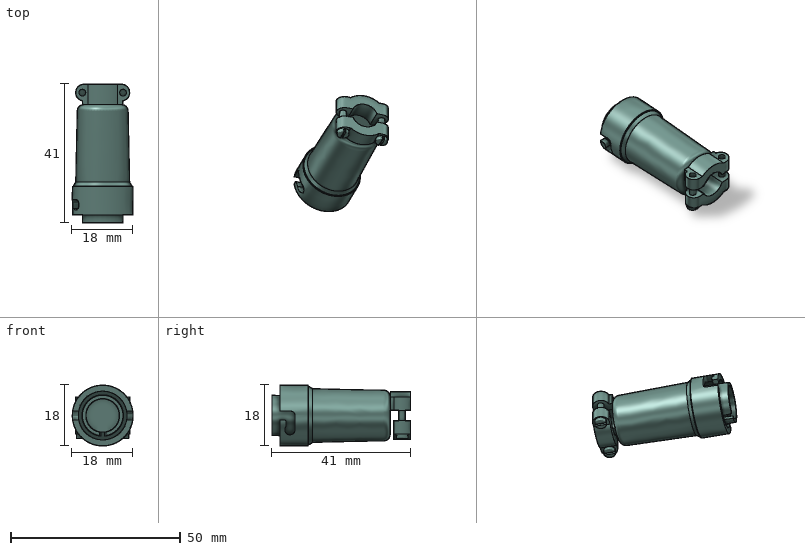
import cadquery as cq
import math


nozzle_radius = 6.0
nozzle_base_radius = 6.13
recess_radius = 5.0
recess_floor_radius = 4.9
recess_depth = 1.6
keyway_mouth_width = 1.9
keyway_base_width = 1.1
keyway_floor = 4.85

collar_radius = 9.0
collar_bore_radius = 7.2
collar_front = 2.4
collar_back = 10.7
collar_bore_end = 9.0
gap_middle_radius = (nozzle_base_radius + collar_bore_radius) / 2

slot_width = 2.6
slot_back = 6.85
slot_outer_corner = 1.3
slot_inner_corner = 0.6
lock_radius = 1.5
lock_height = 4.2

shoulder_radius = 8.7
shoulder_front = 10.9
shoulder_back = 12.05
shell_front_radius = 8.0
shell_back_radius = 7.5
shell_back = 35.0
shell_round = 2.0

clamp_back = 41.0
lug_length = 5.0
lug_half_span = 8.0
lug_inner_height = 1.5
lug_outer_height = 5.5
arch_radius = 7.05
cable_radius = 4.0
neck_width = 12.0
screw_y = clamp_back - lug_length / 2

screw_spacing = 12.0
screw_radius = 1.0
screw_hole_depth = 2.0
head_radius = 1.75
head_height = 1.3
head_round = 0.25
driver_slot_width = 0.6
driver_slot_depth = 0.9


def y_cylinder(radius, start, end):
    """Solid cylinder on the connector axis between two Y positions."""
    return cq.Workplane("XZ", origin=(0, start, 0)).circle(radius).extrude(start - end)


def make_body():
    """Shell, collar blank and nozzle core as one turned solid."""
    profile = (
        cq.Workplane("XY")
        .moveTo(0, 0)
        .lineTo(nozzle_radius, 0)
        .lineTo(nozzle_base_radius, collar_bore_end)
        .lineTo(collar_bore_radius, collar_bore_end)
        .lineTo(collar_bore_radius, collar_front)
        .lineTo(collar_radius, collar_front)
        .lineTo(collar_radius, collar_back)
        .lineTo(shoulder_radius, collar_back)
        .lineTo(shoulder_radius, shoulder_front)
        .lineTo(shell_front_radius, shoulder_back)
        .lineTo(shell_back_radius, shell_back)
        .lineTo(0, shell_back)
        .close()
    )
    body = profile.revolve(360, (0, 0, 0), (0, 1, 0))
    return body.faces(">Y").edges().fillet(shell_round)


def make_recess():
    """Slightly tapered round recess in the mating face."""
    return (
        cq.Workplane("XY")
        .lineTo(recess_radius, 0)
        .lineTo(recess_floor_radius, recess_depth)
        .lineTo(0, recess_depth)
        .close()
        .revolve(360, (0, 0, 0), (0, 1, 0))
    )


def make_keyway():
    """Narrowing slot through the lower nozzle wall, as long as the gap inside the collar."""
    half_mouth = keyway_mouth_width / 2
    half_base = keyway_base_width / 2
    slab = (
        cq.Workplane("XY", origin=(0, 0, -collar_bore_radius))
        .moveTo(-half_mouth, 0)
        .lineTo(half_mouth, 0)
        .lineTo(half_base, collar_bore_end)
        .lineTo(-half_base, collar_bore_end)
        .close()
        .extrude(collar_bore_radius - keyway_floor)
    )
    collar_space = y_cylinder(gap_middle_radius, 0, collar_bore_end)
    return slab.intersect(collar_space)


def make_bayonet_slot():
    """Hooked slot through the -X side of the collar, ending in a round lock pocket."""
    half_width = slot_width / 2
    slot_front = slot_back - slot_width
    lock_y = slot_back - lock_radius
    inner_corner_y = slot_front - slot_inner_corner
    inner_corner_z = half_width + slot_inner_corner
    outline = (
        cq.Workplane("YZ", origin=(-collar_radius, 0, 0))
        .moveTo(collar_front, -half_width)
        .lineTo(slot_back - slot_outer_corner, -half_width)
        .radiusArc((slot_back, slot_outer_corner - half_width), -slot_outer_corner)
        .lineTo(slot_back, lock_height)
        .lineTo(slot_front, lock_height)
        .lineTo(slot_front, inner_corner_z)
        .radiusArc((inner_corner_y, half_width), slot_inner_corner)
        .lineTo(collar_front, half_width)
        .close()
    )
    slot = outline.extrude(collar_radius)
    lock = (
        cq.Workplane("YZ", origin=(-collar_radius, 0, 0))
        .center(lock_y, lock_height)
        .circle(lock_radius)
        .extrude(collar_radius)
    )
    return slot.union(lock).cut(y_cylinder(gap_middle_radius, 0, collar_back))


def make_clamp_half(front):
    """Clamp half above the axis: arch and neck from the given Y, round-ended lugs, cable bore."""
    lug_height = lug_outer_height - lug_inner_height
    lugs = (
        cq.Workplane("XY", origin=(0, screw_y, lug_inner_height))
        .slot2D(2 * lug_half_span, lug_length)
        .extrude(lug_height)
    )
    neck = (
        cq.Workplane("XY", origin=(-neck_width / 2, front, lug_inner_height))
        .rect(neck_width, screw_y - front, centered=False)
        .extrude(lug_height)
    )
    arch_half_width = math.sqrt(arch_radius**2 - lug_outer_height**2)
    arch = (
        cq.Workplane("XZ", origin=(0, front, 0))
        .moveTo(-arch_half_width, lug_inner_height)
        .lineTo(-arch_half_width, lug_outer_height)
        .threePointArc((0, arch_radius), (arch_half_width, lug_outer_height))
        .lineTo(arch_half_width, lug_inner_height)
        .close()
        .extrude(front - clamp_back)
    )
    return lugs.union(neck).union(arch).cut(y_cylinder(cable_radius, front, clamp_back))


def make_screw(x):
    """Clamp screw with its rounded, slotted head under the lower lug."""
    head_bottom = -lug_outer_height - head_height
    screw_top = lug_outer_height - screw_hole_depth
    head = (
        cq.Workplane("XY", origin=(x, screw_y, head_bottom))
        .circle(head_radius)
        .extrude(head_height)
        .faces("<Z")
        .edges()
        .fillet(head_round)
    )
    driver_slot = (
        cq.Workplane("XY", origin=(x, screw_y, head_bottom))
        .rect(driver_slot_width, 2 * head_radius)
        .extrude(driver_slot_depth)
    )
    shank = (
        cq.Workplane("XY", origin=(x, screw_y, -lug_outer_height))
        .circle(screw_radius)
        .extrude(screw_top + lug_outer_height)
    )
    return head.cut(driver_slot).union(shank)


def make_screw_hole(x):
    """Open part of the screw hole above the end of the screw."""
    return (
        cq.Workplane("XY", origin=(x, screw_y, lug_outer_height))
        .circle(screw_radius)
        .extrude(-screw_hole_depth)
    )


body = make_body().cut(make_recess()).cut(make_keyway())
slot = make_bayonet_slot()
for angle in (0, 180):
    body = body.cut(slot.rotate((0, 0, 0), (0, 1, 0), angle))

upper_clamp = make_clamp_half(shell_back)
lower_clamp = make_clamp_half(clamp_back - lug_length).mirror("XY")
result = body.union(upper_clamp).union(lower_clamp)

for screw_x in (-screw_spacing / 2, screw_spacing / 2):
    result = result.union(make_screw(screw_x)).cut(make_screw_hole(screw_x))